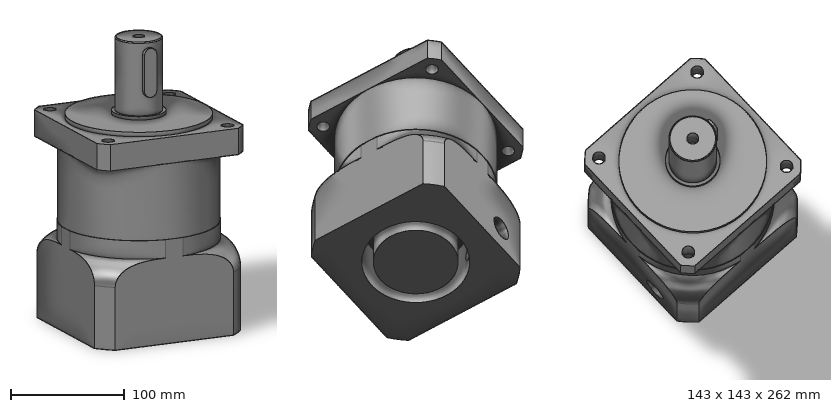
import cadquery as cq
import math

shoulder_top = 78.3
collar_ring_top = 95.0
body_top = 164.0
flange_top = 188.0
pilot_top = 192.0
seal_top = 195.0
shaft_top = 262.0

housing_width = 143.0
housing_corner_radius = 92.0
ring_radius = 72.0
shoulder_radius = 21.0

body_diameter = 143.0
flange_width = 143.0
flange_corner_radius = 95.0
pilot_diameter = 130.0
bolt_spacing = 116.7
bolt_hole_diameter = 11.0

seal_diameter = 48.0
shaft_diameter = 42.0
shaft_chamfer = 1.0
key_width = 12.0
key_length = 44.8
key_height = 8.0
key_outer_x = 24.0
key_top_gap = 5.3
centre_hole_diameter = 10.2
centre_hole_depth = 28.0
drill_point_angle = 118.0

cavity_diameter = 95.0
cavity_depth = 50.0
hub_diameter = 74.5
access_hole_diameter = 22.0
access_hole_y = -29.0
access_hole_z = 25.5


def cylinder(diameter, bottom, top):
    """Upright cylinder on the gearbox axis."""
    return cq.Workplane("XY").workplane(offset=bottom).circle(diameter / 2).extrude(top - bottom)


def square_block(width, bottom, top):
    """Upright square block centred on the gearbox axis."""
    return cq.Workplane("XY").workplane(offset=bottom).rect(width, width).extrude(top - bottom)


def make_housing():
    """Square block trimmed by a turned shape with rounded shoulders and a ring on top."""
    turned = cylinder(2 * housing_corner_radius, 0, shoulder_top)
    turned = turned.faces(">Z").edges().fillet(shoulder_radius)
    turned = turned.union(cylinder(2 * ring_radius, 0, collar_ring_top))
    return turned.intersect(square_block(housing_width, 0, collar_ring_top))


def make_flange():
    """Square flange with turned corners and four through holes."""
    flange = square_block(flange_width, body_top, flange_top)
    flange = flange.intersect(cylinder(2 * flange_corner_radius, body_top, flange_top))
    return (
        flange.faces(">Z").workplane()
        .rect(bolt_spacing, bolt_spacing, forConstruction=True).vertices()
        .hole(bolt_hole_diameter)
    )


def make_shaft():
    """Output shaft with a chamfered end and a drilled centre hole."""
    shaft = cylinder(shaft_diameter, seal_top, shaft_top).faces(">Z").edges().chamfer(shaft_chamfer)
    hole_radius = centre_hole_diameter / 2
    point_height = hole_radius / math.tan(math.radians(drill_point_angle / 2))
    wall_bottom = shaft_top - centre_hole_depth
    drill = (
        cq.Workplane("XZ")
        .moveTo(0, shaft_top)
        .lineTo(hole_radius, shaft_top)
        .lineTo(hole_radius, wall_bottom)
        .lineTo(0, wall_bottom - point_height)
        .close()
        .revolve(360, (0, 0, 0), (0, 1, 0))
    )
    return shaft.cut(drill)


def make_key():
    """Round-ended parallel key on the +X side of the shaft."""
    key_centre_z = shaft_top - key_top_gap - key_length / 2
    return (
        cq.Workplane("YZ", origin=(key_outer_x - key_height, 0, key_centre_z))
        .slot2D(key_length, key_width, 90)
        .extrude(key_height)
    )


def make_cavity():
    """Annular cavity open at the mounting face, leaving a central hub."""
    return cylinder(cavity_diameter, 0, cavity_depth).cut(cylinder(hub_diameter, 0, cavity_depth))


def make_access_hole():
    """Hole from the -X side of the housing into the cavity, stopping at the hub."""
    return (
        cq.Workplane("YZ", origin=(-housing_width / 2, access_hole_y, access_hole_z))
        .circle(access_hole_diameter / 2)
        .extrude(housing_width / 2)
        .cut(cylinder(hub_diameter, 0, cavity_depth))
    )


result = (
    make_housing()
    .union(cylinder(body_diameter, collar_ring_top, body_top))
    .union(make_flange())
    .union(cylinder(pilot_diameter, flange_top, pilot_top))
    .union(cylinder(seal_diameter, pilot_top, seal_top))
    .union(make_shaft())
    .union(make_key())
    .cut(make_cavity())
    .cut(make_access_hole())
)